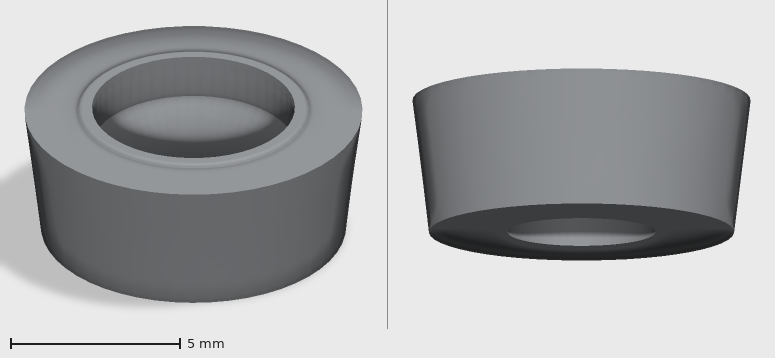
import cadquery as cq
import math

rim_radius = 5.0
body_height = 3.97
clearance_angle = 7.0
base_radius = rim_radius - body_height * math.tan(math.radians(clearance_angle))

ring_radius = 3.46
ring_shoulder_radius = 3.41
ring_flat_radius = 3.28
ring_height = 0.1
ring_foot_height = 0.03
top_z = body_height + ring_height

counterbore_radius = 3.0
counterbore_depth = 1.33
bore_radius = 2.19
seat_height = 1.81
seat_top_z = top_z - counterbore_depth
seat_bottom_z = seat_top_z - seat_height

seat_step = counterbore_radius - bore_radius
seat_arc_radius = (seat_step**2 + seat_height**2) / (2 * seat_step)
half_sweep = math.asin(seat_height / seat_arc_radius) / 2
seat_middle = (
    bore_radius + seat_arc_radius * (1 - math.cos(half_sweep)),
    seat_bottom_z + seat_arc_radius * math.sin(half_sweep),
)

edge_width = ring_shoulder_radius - ring_flat_radius
edge_height = ring_height - ring_foot_height
edge_arc_radius = (edge_width**2 + edge_height**2) / (2 * edge_height)
edge_half_sweep = math.asin(edge_width / edge_arc_radius) / 2
edge_middle = (
    ring_flat_radius + edge_arc_radius * math.sin(edge_half_sweep),
    top_z - edge_arc_radius * (1 - math.cos(edge_half_sweep)),
)

result = (
    cq.Workplane("XZ")
    .moveTo(bore_radius, 0)
    .lineTo(base_radius, 0)
    .lineTo(rim_radius, body_height)
    .lineTo(ring_radius, body_height)
    .lineTo(ring_shoulder_radius, body_height + ring_foot_height)
    .threePointArc(edge_middle, (ring_flat_radius, top_z))
    .lineTo(counterbore_radius, top_z)
    .lineTo(counterbore_radius, seat_top_z)
    .threePointArc(seat_middle, (bore_radius, seat_bottom_z))
    .close()
    .revolve(360, (0, 0, 0), (0, 1, 0))
)